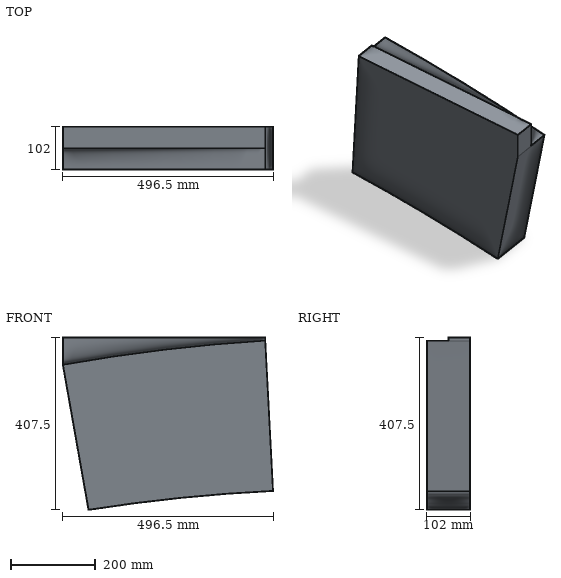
import cadquery as cq
import math

depth = 102.0
strip_depth = 51.0
height = 407.5
strip_length = 478.0

top_left = (0, 342.5)
top_right = (strip_length, 399.5)
bottom_right = (496.5, 44.5)
bottom_left = (60.5, 0)
top_rise = 7.0
bottom_rise = 6.0


def arc_middle(start, end, rise):
    """Point at the given rise above the middle of the chord."""
    dx = end[0] - start[0]
    dz = end[1] - start[1]
    chord = math.hypot(dx, dz)
    return (
        (start[0] + end[0]) / 2 - rise * dz / chord,
        (start[1] + end[1]) / 2 + rise * dx / chord,
    )


slab = (
    cq.Workplane("XZ")
    .moveTo(*top_left)
    .threePointArc(arc_middle(top_left, top_right, top_rise), top_right)
    .lineTo(*bottom_right)
    .threePointArc(arc_middle(bottom_left, bottom_right, bottom_rise), bottom_left)
    .close()
    .extrude(depth)
)

strip = (
    cq.Workplane("XZ")
    .polyline([top_left, top_right, (strip_length, height), (0, height)])
    .close()
    .extrude(strip_depth)
)

result = slab.union(strip)